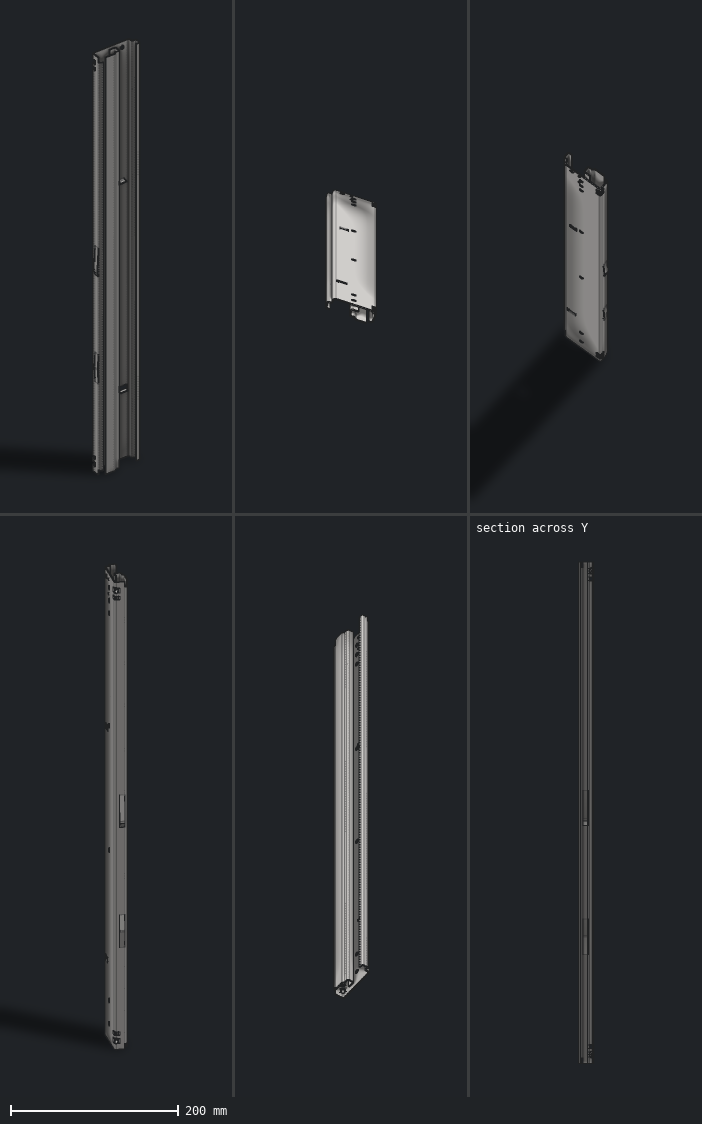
import cadquery as cq
import math

LENGTH = 600.0
WIDTH = 18.0
SHEET = 1.5
TOP_Y = 31.0
FLOOR_Y = -29.5
HALF_LENGTH = LENGTH / 2
BACK_X = -WIDTH / 2
FRONT_X = WIDTH / 2

HOOK_LEFT_X = -3.0
HOOK_RIGHT_X = 6.5
HOOK_BEND = 0.5
HOOK_NOSE_BEND = 1.0

HOOK_TIP_Y = 25.0
SHELF_Y = 26.0
LIP_X = 8.0
LIP_TIP_Y = -24.0
SHELF_BEND = 2.1
FLOOR_BEND = 1.0
LIP_BEND = 2.5
FLOOR_END_X = LIP_X - LIP_BEND - SHEET
LIP_TRIM = 6.5

INNER_TOP_Y = 1.0
INNER_HOOK_TIP_Y = -8.5
JOGGLE_TOP_Y = -5.5
JOGGLE_BOTTOM_Y = -8.0
WALL_TIP_Y = -21.5

SCREW_DIAMETER = 5.5
SCREW_Y = 0.0
SCREW_ZS = [282.0, 266.0, 249.5, 105.0, -54.5, -248.0, -278.0]
PILOT_DIAMETER = 3.0
PILOT_Y = 3.0
PILOT_ZS = [292.0, 273.5]
LOCATOR_DIAMETER = 5.5
LOCATOR_Y = 14.5
LOCATOR_Z = 291.5

SLOT_HEIGHT = 7.0
TAB_TIP_X = -2.5
TAB_BEND = 1.0
UPPER_SLOT = {"z": 99.0, "slot_span": (6.5, 17.5), "tab_span": (8.5, 17.5), "side": 1}
LOWER_SLOT = {"z": -199.0, "slot_span": (8.5, 21.5), "tab_span": (8.5, 19.0), "side": -1}

WINDOW_LEG = 6.5
INNER_WINDOW_Z = 279.5
INNER_WINDOW_HEIGHT = 4.0
DIMPLE_Z = 289.0
DIMPLE_WINDOW_HEIGHT = 6.0
DIMPLE_REACH = 6.5
DIMPLE_START = 3.5
DIMPLE_WIDTH = 4.0
DIMPLE_HEIGHT = 8.0

RIDGE_LEFT_X = -2.7
RIDGE_RIGHT_X = FLOOR_END_X
STOP_RIDGE = {"top": 26.5, "crest_top": -6.5, "crest_bottom": -9.5, "bottom": -15.0, "rise": 2.0}
GUIDE_RIDGE = {"top": -127.0, "crest_top": -147.0, "crest_bottom": -149.0, "bottom": -169.0, "rise": 1.0}


def left_normal(start, end):
    """Unit vector to the left of the direction from start to end."""
    dx, dy = end[0] - start[0], end[1] - start[1]
    size = math.hypot(dx, dy)
    return -dy / size, dx / size


def offset_left(path):
    """Path moved one sheet thickness to its left, with mitred corners."""
    normals = [left_normal(a, b) for a, b in zip(path, path[1:])]
    befores = normals[:1] + normals
    afters = normals + normals[-1:]
    moved = []
    for (x, y), before, after in zip(path, befores, afters):
        reach = SHEET / (1 + before[0] * after[0] + before[1] * after[1])
        moved.append((x + reach * (before[0] + after[0]), y + reach * (before[1] + after[1])))
    return moved


def turns_left(before, corner, after):
    """True where the path bends towards the side that carries the sheet."""
    nx, ny = left_normal(before, corner)
    return nx * (after[0] - corner[0]) + ny * (after[1] - corner[1]) > 0


def round_edge(body, point, radius):
    """Round the lengthwise edge that passes through an XY point."""
    reach = SHEET / 5
    x, y = point
    box = cq.selectors.BoxSelector((x - reach, y - reach, -reach), (x + reach, y + reach, reach))
    return body.edges("|Z").edges(box).fillet(radius)


def folded_sheet(path, bends):
    """Full-length bent sheet on the left of an XY path, with one inside radius per bend."""
    other_side = offset_left(path)
    body = cq.Workplane("XY").polyline(path + other_side[::-1]).close().extrude(HALF_LENGTH, both=True)
    for i, inside in enumerate(bends, start=1):
        outside = inside + SHEET
        left = turns_left(*path[i - 1:i + 2])
        body = round_edge(body, path[i], outside if left else inside)
        body = round_edge(body, other_side[i], inside if left else outside)
    return body


def web_holes(diameter, y, heights):
    """Round cutters through the web."""
    centres = [(y, z) for z in heights]
    return cq.Workplane("YZ", origin=(BACK_X, 0, 0)).pushPoints(centres).circle(diameter / 2).extrude(SHEET)


def bent_tab(root_z, span, side):
    """Tab that leaves the web at root_z, curving towards -Z (side 1) or +Z (side -1) into the rail."""
    inner_x = BACK_X + SHEET
    bend_outside = TAB_BEND + SHEET
    root = cq.Workplane("XZ", origin=(0, span[1], 0)).moveTo(inner_x, root_z)
    outline = (
        root.radiusArc((inner_x + TAB_BEND, root_z - side * TAB_BEND), -side * TAB_BEND)
        .lineTo(TAB_TIP_X, root_z - side * TAB_BEND)
        .lineTo(TAB_TIP_X, root_z - side * bend_outside)
        .lineTo(BACK_X + bend_outside, root_z - side * bend_outside)
        .radiusArc((BACK_X, root_z), side * bend_outside)
        .close()
    )
    return outline.extrude(span[1] - span[0])


def add_tab_slot(body, z, slot_span, tab_span, side):
    """Cut a slot and bend a tab inwards from its upper (side 1) or lower (side -1) edge."""
    slot_width = slot_span[1] - slot_span[0]
    slot = cq.Workplane("XY").box(SHEET, slot_width, SLOT_HEIGHT, centered=(False, False, True))
    slot = slot.translate((BACK_X, slot_span[0], z))
    root_z = z + side * SLOT_HEIGHT / 2
    return body.cut(slot).union(bent_tab(root_z, tab_span, side))


def corner_window(z, height):
    """Wedge that opens the bend between web and floor."""
    corner = cq.Workplane("XY", origin=(BACK_X, FLOOR_Y, z))
    wedge = corner.polyline([(0, 0), (WINDOW_LEG, 0), (0, WINDOW_LEG)]).close()
    return wedge.extrude(height / 2, both=True)


def corner_dimple(z):
    """V-shaped strip that points diagonally into the rail behind a corner window."""
    inward = cq.Plane(origin=(BACK_X, FLOOR_Y, z), xDir=(1, 1, 0), normal=(1, -1, 0))
    half = DIMPLE_HEIGHT / 2
    outline = [
        (DIMPLE_START - SHEET, half),
        (DIMPLE_START, half),
        (DIMPLE_REACH, 0),
        (DIMPLE_START, -half),
        (DIMPLE_START - SHEET, -half),
        (DIMPLE_REACH - SHEET, 0),
    ]
    return cq.Workplane(inward).polyline(outline).close().extrude(DIMPLE_WIDTH / 2, both=True)


def press_ridge(body, top, crest_top, crest_bottom, bottom, rise):
    """Press a sloped ridge out of the floor, leaving a matching hollow on its inner face."""
    outline = [
        (FLOOR_Y, top),
        (FLOOR_Y - rise, crest_top),
        (FLOOR_Y - rise, crest_bottom),
        (FLOOR_Y, bottom),
    ]
    start = cq.Workplane("YZ", origin=(RIDGE_LEFT_X, 0, 0))
    ridge = start.polyline(outline).close().extrude(RIDGE_RIGHT_X - RIDGE_LEFT_X)
    hollow = ridge.translate((0, SHEET, 0))
    return body.union(ridge).cut(hollow)


def trim_lip(body):
    """Remove the lip at both ends of the outer rail."""
    width = LIP_X - FLOOR_END_X
    height = LIP_TIP_Y - FLOOR_Y
    trim = cq.Workplane("XY").box(width, height, LIP_TRIM, centered=(False, False, True))
    for end in (1, -1):
        body = body.cut(trim.translate((FLOOR_END_X, FLOOR_Y, end * (HALF_LENGTH - LIP_TRIM / 2))))
    return body


def make_outer_rail():
    path = [
        (HOOK_RIGHT_X, HOOK_TIP_Y),
        (HOOK_RIGHT_X, TOP_Y),
        (HOOK_LEFT_X, TOP_Y),
        (HOOK_LEFT_X, SHELF_Y),
        (BACK_X, SHELF_Y),
        (BACK_X, FLOOR_Y),
        (LIP_X, FLOOR_Y),
        (LIP_X, LIP_TIP_Y),
    ]
    bends = [HOOK_NOSE_BEND, HOOK_BEND, HOOK_BEND, SHELF_BEND, FLOOR_BEND, LIP_BEND]
    rail = folded_sheet(path, bends)
    rail = trim_lip(rail)
    rail = rail.cut(web_holes(SCREW_DIAMETER, SCREW_Y, SCREW_ZS))
    rail = rail.cut(web_holes(PILOT_DIAMETER, PILOT_Y, PILOT_ZS))
    rail = rail.cut(web_holes(LOCATOR_DIAMETER, LOCATOR_Y, [LOCATOR_Z]))
    rail = add_tab_slot(rail, **UPPER_SLOT)
    rail = add_tab_slot(rail, **LOWER_SLOT)
    for end in (1, -1):
        rail = rail.cut(corner_window(end * INNER_WINDOW_Z, INNER_WINDOW_HEIGHT))
        rail = rail.cut(corner_window(end * DIMPLE_Z, DIMPLE_WINDOW_HEIGHT))
        rail = rail.union(corner_dimple(end * DIMPLE_Z))
    rail = press_ridge(rail, **STOP_RIDGE)
    return press_ridge(rail, **GUIDE_RIDGE)


def make_inner_rail():
    path = [
        (FRONT_X, WALL_TIP_Y),
        (FRONT_X, JOGGLE_BOTTOM_Y),
        (HOOK_RIGHT_X, JOGGLE_TOP_Y),
        (HOOK_RIGHT_X, INNER_TOP_Y),
        (HOOK_LEFT_X, INNER_TOP_Y),
        (HOOK_LEFT_X, INNER_HOOK_TIP_Y),
    ]
    bends = [HOOK_BEND, HOOK_BEND, HOOK_NOSE_BEND, HOOK_BEND]
    return folded_sheet(path, bends)


outer_rail = make_outer_rail()
inner_rail = make_inner_rail()
result = cq.Compound.makeCompound([outer_rail.solids().val(), inner_rail.solids().val()])